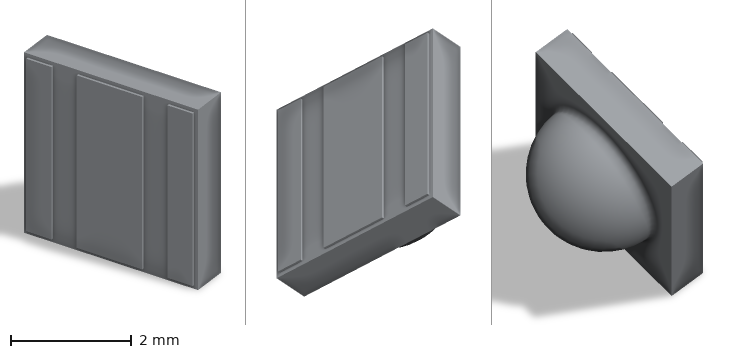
import cadquery as cq
import math

body_side = 3.45
total_depth = 2.03
pad_thickness = 0.05
lens_radius = 1.29
lens_fillet = 0.1
body_depth = total_depth - pad_thickness - lens_radius

pad_margin = 0.075
side_pad_width = 0.5
pad_gap = 0.5
pad_length = body_side - 2 * pad_margin
center_pad_width = pad_length - 2 * (side_pad_width + pad_gap)
side_pad_offset = (pad_length - side_pad_width) / 2


def make_body():
    """Square plate from Y = -body_depth to the lens base plane Y = 0."""
    return cq.Workplane("XY").box(body_side, body_depth, body_side).translate((0, -body_depth / 2, 0))


def make_lens():
    """Hemisphere revolved about Y, with a concave fillet tangent to it and to the body."""
    foot_radius = math.sqrt(lens_radius**2 + 2 * lens_radius * lens_fillet)
    foot_angle = math.atan2(lens_fillet, foot_radius)
    dome_mid_angle = (foot_angle + math.pi / 2) / 2
    fillet_mid_angle = (-math.pi / 2 + foot_angle - math.pi) / 2

    def dome_point(angle):
        return (lens_radius * math.cos(angle), lens_radius * math.sin(angle))

    fillet_mid = (
        foot_radius + lens_fillet * math.cos(fillet_mid_angle),
        lens_fillet + lens_fillet * math.sin(fillet_mid_angle),
    )
    return (
        cq.Workplane("XY")
        .lineTo(foot_radius, 0)
        .threePointArc(fillet_mid, dome_point(foot_angle))
        .threePointArc(dome_point(dome_mid_angle), (0, lens_radius))
        .close()
        .revolve(360, (0, 0), (0, 1))
    )


def make_pad(center_x, width):
    """Flat contact strip running along Z on the -Y face of the body."""
    center_y = -body_depth - pad_thickness / 2
    return cq.Workplane("XY").box(width, pad_thickness, pad_length).translate((center_x, center_y, 0))


result = make_body().union(make_lens())
for pad_x, pad_width in (
    (-side_pad_offset, side_pad_width),
    (0, center_pad_width),
    (side_pad_offset, side_pad_width),
):
    result = result.union(make_pad(pad_x, pad_width))